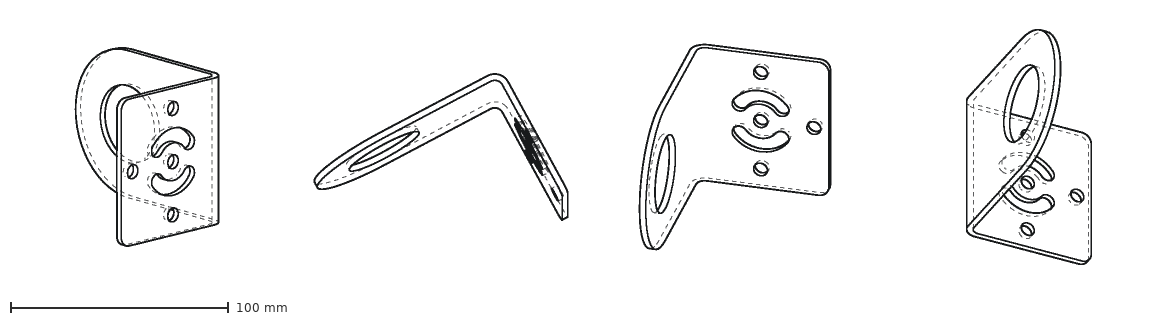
import cadquery as cq
import math

length = 97.5
depth = 65.0
height = 70.0
thickness = 3.0
bend_radius = 7.0

end_radius = height / 2
bore_diameter = 36.5

corner_radius = 5.0
hole_diameter = 6.5
hole_spacing = 25.35
slot_radius = 12.5
slot_width = 7.0
slot_end_angle = math.radians(37)

back = depth / 2
flange_outer = length - end_radius
flange_inner = flange_outer - thickness


def bent_sheet():
    """L-shaped sheet with a rounded bend, extruded over the full height."""
    profile = (
        cq.Workplane("XY")
        .moveTo(-end_radius, back)
        .lineTo(flange_outer, back)
        .lineTo(flange_outer, -back)
        .lineTo(flange_inner, -back)
        .lineTo(flange_inner, back - thickness)
        .lineTo(-end_radius, back - thickness)
        .close()
        .extrude(height / 2, both=True)
    )
    bent = profile.edges("|Z and >X and >Y").fillet(bend_radius)
    inner_edge = cq.selectors.NearestToPointSelector((flange_inner, back - thickness, 0))
    return bent.edges("|Z").edges(inner_edge).fillet(bend_radius - thickness)


def plate_outline():
    """Front outline: half-round at -X, square at the flange."""
    return (
        cq.Workplane("XZ")
        .moveTo(0, end_radius)
        .lineTo(flange_outer, end_radius)
        .lineTo(flange_outer, -end_radius)
        .lineTo(0, -end_radius)
        .threePointArc((-end_radius, 0), (0, end_radius))
        .close()
        .extrude(depth / 2, both=True)
    )


def plate_bore():
    return cq.Workplane("XZ").circle(bore_diameter / 2).extrude(depth / 2, both=True)


def flange_plane():
    """Plane on the inner flange face, centred on the hole pattern."""
    return cq.Workplane("YZ", origin=(flange_inner, 0, 0))


def flange_holes():
    places = [(0, 0), (-hole_spacing, 0), (0, hole_spacing), (0, -hole_spacing)]
    return flange_plane().pushPoints(places).circle(hole_diameter / 2).extrude(thickness)


def curved_slot(side):
    """Round-ended arc slot about the flange centre; side is +1 above, -1 below."""
    def on_slot(radius):
        return radius * math.cos(slot_end_angle), side * radius * math.sin(slot_end_angle)

    outer = slot_radius + slot_width / 2
    inner = slot_radius - slot_width / 2
    outer_y, outer_z = on_slot(outer)
    inner_y, inner_z = on_slot(inner)
    middle_y, middle_z = on_slot(slot_radius)
    cap_y = middle_y + slot_width / 2 * math.sin(slot_end_angle)
    cap_z = middle_z - side * slot_width / 2 * math.cos(slot_end_angle)
    return (
        flange_plane()
        .moveTo(-outer_y, outer_z)
        .threePointArc((0, side * outer), (outer_y, outer_z))
        .threePointArc((cap_y, cap_z), (inner_y, inner_z))
        .threePointArc((0, side * inner), (-inner_y, inner_z))
        .threePointArc((-cap_y, cap_z), (-outer_y, outer_z))
        .close()
        .extrude(thickness)
    )


result = bent_sheet().intersect(plate_outline()).cut(plate_bore())
result = result.edges("|X and <Y").fillet(corner_radius)
result = result.cut(flange_holes())
for side in (1, -1):
    result = result.cut(curved_slot(side))